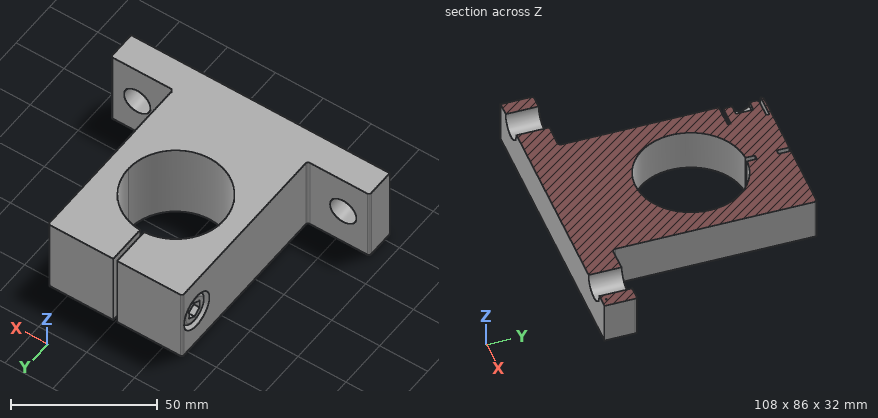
import cadquery as cq
import math

base_width = 108.0
total_height = 86.0
depth = 32.0
base_thickness = 12.0
block_width = 56.0

corner_radius = 1.0

bore_diameter = 40.0
bore_height = 50.0
slot_width = 1.6

mount_hole_diameter = 11.0
mount_hole_spacing = 86.0

screw_height = total_height - 8.5
shank_diameter = 8.0
counterbore_diameter = 15.0
head_diameter = 13.0
head_length = 8.0
head_recess = 1.0
head_edge_radius = 1.3
socket_across_flats = 6.2
socket_depth = 4.0

block_side = -block_width / 2
head_face = block_side + head_recess
head_seat = head_face + head_length


def rod_along_x(start, end, diameter):
    """Cylinder on the clamp screw axis between two X positions."""
    plane = cq.Workplane("YZ", origin=(start, screw_height, 0))
    return plane.circle(diameter / 2).extrude(end - start)


def make_bracket():
    """T-shaped bracket: a flat base carrying an upright clamping block."""
    base = (
        cq.Workplane("XY")
        .box(base_width, base_thickness, depth, centered=(True, False, True))
        .edges("|Z and >Y")
        .fillet(corner_radius)
    )
    block = (
        cq.Workplane("XY")
        .box(block_width, total_height, depth, centered=(True, False, True))
        .edges("|Z and >Y")
        .fillet(corner_radius)
    )
    inner_corners = cq.selectors.BoxSelector(
        (-block_width / 2 - 1.1, base_thickness - 1.1, -depth),
        (block_width / 2 + 1.1, base_thickness + 1.1, depth),
    )
    return base.union(block).edges(inner_corners).fillet(corner_radius)


def cut_bore_and_slot(body):
    """Cut the shaft bore and the slot from it to the top of the block."""
    bore = (
        cq.Workplane("XY", origin=(0, bore_height, -depth / 2))
        .circle(bore_diameter / 2)
        .extrude(depth)
    )
    slot = (
        cq.Workplane("XY", origin=(0, bore_height, 0))
        .box(slot_width, total_height - bore_height, depth, centered=(True, False, True))
    )
    return body.cut(bore).cut(slot)


def cut_mount_holes(body):
    """Drill the two mounting holes through the base."""
    half_spacing = mount_hole_spacing / 2
    holes = (
        cq.Workplane("XZ")
        .pushPoints([(-half_spacing, 0), (half_spacing, 0)])
        .circle(mount_hole_diameter / 2)
        .extrude(-base_thickness)
    )
    return body.cut(holes)


def make_screw():
    """Socket head screw whose shank bridges the slot into the far jaw."""
    head = rod_along_x(head_face, head_seat, head_diameter).edges("<X").fillet(head_edge_radius)
    socket_across_corners = socket_across_flats / math.cos(math.pi / 6)
    socket = (
        cq.Workplane("YZ", origin=(head_face, screw_height, 0))
        .transformed(rotate=(0, 0, 90))
        .polygon(6, socket_across_corners)
        .extrude(socket_depth)
    )
    shank = rod_along_x(head_seat, block_width / 4, shank_diameter)
    return head.cut(socket).union(shank)


bracket = cut_mount_holes(cut_bore_and_slot(make_bracket()))
counterbore = rod_along_x(block_side, head_seat, counterbore_diameter)
result = bracket.cut(counterbore).union(make_screw())